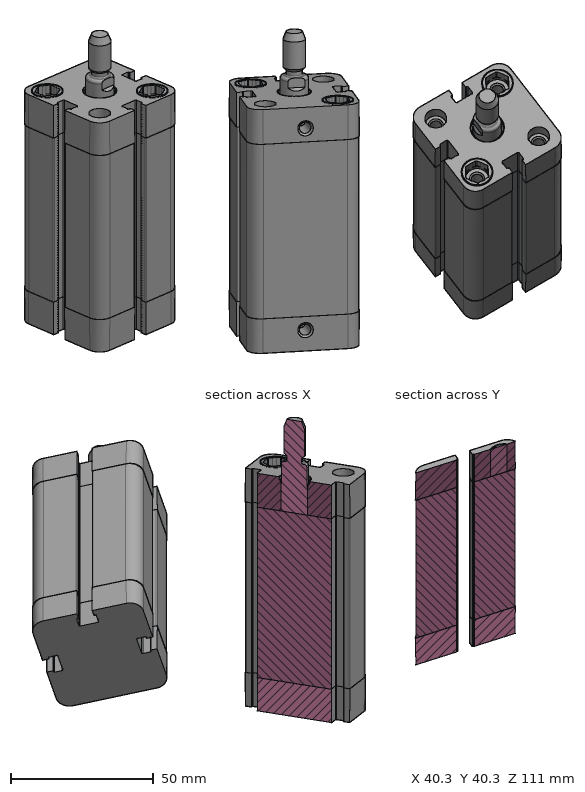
import cadquery as cq
import math

TOTAL_HEIGHT = 111.0
BODY_HEIGHT = 89.0
CAP_HEIGHT = 12.7
BARREL_TOP = BODY_HEIGHT - CAP_HEIGHT

CAP_SIDE = 40.3
CAP_OUTER_SIDE = 40.1
CAP_CORNER_RADIUS = 5.0
CAP_DRAFT = math.degrees(math.atan((CAP_SIDE - CAP_OUTER_SIDE) / 2 / CAP_HEIGHT))
BARREL_SIDE = 40.1
BARREL_CORNER_RADIUS = 5.1

SLOT_OPENING = 5.5
SLOT_INNER_WIDTH = 7.1
SLOT_FLOOR = 14.3
SLOT_LIP = 17.8
SLOT_CORNER_CHAMFER = 0.3
SLOT_MOUTH_RADIUS = 0.3
SLOT_ANGLES = (0, 90, -90)

CORNER_OFFSET = 13.0
SCREW_POSITIONS = [(-CORNER_OFFSET, -CORNER_OFFSET), (CORNER_OFFSET, CORNER_OFFSET)]
HOLE_POSITIONS = [(-CORNER_OFFSET, CORNER_OFFSET), (CORNER_OFFSET, -CORNER_OFFSET)]
SCREW_DIAMETER = 11.1
SCREW_CHAMFER = 0.3
HEX_ACROSS_FLATS = 8.0
HEX_CORNER_DIAMETER = 9.0
HEX_ANGLE = 30.0
HEX_DEPTH = 3.3
SCREW_BORE_DIAMETER = 8.1
HOLE_BORE_DIAMETER = 7.5
BORE_DEPTH = 4.7
THREAD_DIAMETER = 4.1
THREAD_MOUTH_DIAMETER = 5.2
PORT_MOUTH_DIAMETER = 5.5
PORT_HEIGHT = 7.7
PORT_DEPTH = 10.0
PORT_LEAD = 0.5

ROD_DIAMETER = 10.0
ROD_SHOULDER = 95.1
ROD_SHOULDER_RADIUS = 1.2
FLATS_WIDTH = 8.0
FLATS_BOTTOM = 91.6
NECK_DIAMETER = 5.8
NECK_FILLET = 0.4
STUD_DIAMETER = 8.0
STUD_BOTTOM = 97.0
STUD_TIP_CHAMFER = 2.8
ROD_RECESS_MOUTH_DIAMETER = 12.0
ROD_RECESS_DIAMETER = 11.4
ROD_RECESS_DEPTH = 1.1
ROD_CLEARANCE_DIAMETER = 10.4
ROD_CLEARANCE_DEPTH = 2.2


def rounded_square(side, radius):
    return cq.Sketch().rect(side, side).vertices().fillet(radius)


def cylinder_down(x, y, top, diameter, depth):
    """Vertical cylinder hanging down from height `top`."""
    return cq.Workplane("XY", origin=(x, y, top - depth)).circle(diameter / 2).extrude(depth)


def threaded_hole(mouth_diameter, depth, lead=0):
    """Countersunk thread hole along -Z, its mouth at the origin and widened straight up by `lead`."""
    core = THREAD_DIAMETER / 2
    mouth = mouth_diameter / 2
    hole = (
        cq.Workplane("XZ")
        .polyline([(0, 0), (mouth, 0), (core, core - mouth), (core, -depth), (0, -depth)])
        .close()
        .revolve(360, (0, 0), (0, 1))
    )
    if lead:
        hole = hole.union(cylinder_down(0, 0, lead, mouth_diameter, lead))
    return hole


def t_slots(mouth_radius=0):
    """Full-height cutters for the three T-slots, opening at the barrel's side face."""
    face = BARREL_SIDE / 2
    outside = CAP_SIDE
    half = SLOT_OPENING / 2
    slot = (
        cq.Workplane("XY")
        .center((SLOT_FLOOR + SLOT_LIP) / 2, 0)
        .rect(SLOT_LIP - SLOT_FLOOR, SLOT_INNER_WIDTH)
        .extrude(BODY_HEIGHT)
        .edges("|Z")
        .chamfer(SLOT_CORNER_CHAMFER)
    )
    opening = cq.Workplane("XY").moveTo(SLOT_FLOOR, -half)
    if mouth_radius:
        opening = (
            opening.lineTo(face - mouth_radius, -half)
            .radiusArc((face, -half - mouth_radius), mouth_radius)
            .lineTo(outside, -half - mouth_radius)
            .lineTo(outside, half + mouth_radius)
            .lineTo(face, half + mouth_radius)
            .radiusArc((face - mouth_radius, half), mouth_radius)
        )
    else:
        opening = opening.lineTo(outside, -half).lineTo(outside, half)
    slot = slot.union(opening.lineTo(SLOT_FLOOR, half).close().extrude(BODY_HEIGHT))
    slots = cq.Workplane("XY")
    for angle in SLOT_ANGLES:
        slots = slots.add(slot.rotate((0, 0, 0), (0, 0, 1), angle))
    return slots.combine()


def make_cap_block():
    """Drafted cap with slots and air port, its joint face at Z = 0 and its free end up."""
    cap = (
        cq.Workplane("XY")
        .placeSketch(rounded_square(CAP_SIDE, CAP_CORNER_RADIUS))
        .extrude(CAP_HEIGHT, taper=CAP_DRAFT)
        .cut(t_slots())
    )
    port_face = -(CAP_OUTER_SIDE / 2 + PORT_HEIGHT * math.tan(math.radians(CAP_DRAFT)))
    port = threaded_hole(PORT_MOUTH_DIAMETER, PORT_DEPTH, lead=PORT_LEAD).rotate((0, 0, 0), (0, 1, 0), -90)
    return cap.cut(port.translate((port_face, 0, CAP_HEIGHT - PORT_HEIGHT)))


def make_bottom_cap():
    return make_cap_block().mirror("XY").translate((0, 0, CAP_HEIGHT))


def make_barrel():
    return (
        cq.Workplane("XY", origin=(0, 0, CAP_HEIGHT))
        .placeSketch(rounded_square(BARREL_SIDE, BARREL_CORNER_RADIUS))
        .extrude(BARREL_TOP - CAP_HEIGHT)
        .cut(t_slots(SLOT_MOUTH_RADIUS))
    )


def make_rod_opening():
    """Cutter for the rod: guide bore, clearance step and countersunk recess at the top face."""
    mouth = ROD_RECESS_MOUTH_DIAMETER / 2
    recess = ROD_RECESS_DIAMETER / 2
    clearance = ROD_CLEARANCE_DIAMETER / 2
    guide = ROD_DIAMETER / 2
    outline = [
        (0, BODY_HEIGHT),
        (mouth, BODY_HEIGHT),
        (recess, BODY_HEIGHT - (mouth - recess)),
        (recess, BODY_HEIGHT - ROD_RECESS_DEPTH),
        (clearance, BODY_HEIGHT - ROD_RECESS_DEPTH),
        (clearance, BODY_HEIGHT - ROD_CLEARANCE_DEPTH),
        (guide, BODY_HEIGHT - ROD_CLEARANCE_DEPTH),
        (guide, BARREL_TOP),
        (0, BARREL_TOP),
    ]
    return cq.Workplane("XZ").polyline(outline).close().revolve(360, (0, 0), (0, 1))


def make_top_cap():
    cap = make_cap_block().translate((0, 0, BARREL_TOP))
    cap = cap.cut(make_rod_opening())
    for x, y in SCREW_POSITIONS:
        cap = cap.cut(cylinder_down(x, y, BODY_HEIGHT, SCREW_DIAMETER, CAP_HEIGHT))
    for x, y in HOLE_POSITIONS:
        cap = cap.cut(cylinder_down(x, y, BODY_HEIGHT, HOLE_BORE_DIAMETER, BORE_DEPTH))
        thread = threaded_hole(THREAD_MOUTH_DIAMETER, CAP_HEIGHT - BORE_DEPTH)
        cap = cap.cut(thread.translate((x, y, BODY_HEIGHT - BORE_DEPTH)))
    return cap


def make_screw(x, y):
    """Socket screw through the top cap, flush with its top face."""
    screw = cylinder_down(0, 0, 0, SCREW_DIAMETER, CAP_HEIGHT).faces(">Z").chamfer(SCREW_CHAMFER)
    hexagon = (
        cq.Workplane("XY")
        .polygon(6, HEX_ACROSS_FLATS, circumscribed=True)
        .extrude(-HEX_DEPTH)
        .rotate((0, 0, 0), (0, 0, 1), HEX_ANGLE)
    )
    socket = hexagon.intersect(cylinder_down(0, 0, 0, HEX_CORNER_DIAMETER, HEX_DEPTH))
    screw = screw.cut(socket)
    screw = screw.cut(cylinder_down(0, 0, 0, SCREW_BORE_DIAMETER, BORE_DEPTH))
    thread = threaded_hole(THREAD_MOUTH_DIAMETER, CAP_HEIGHT - BORE_DEPTH)
    return screw.cut(thread.translate((0, 0, -BORE_DEPTH))).translate((x, y, BODY_HEIGHT))


def make_rod():
    """Piston rod standing on the barrel, with wrench flats and a stud end."""
    rod_radius = ROD_DIAMETER / 2
    neck = NECK_DIAMETER / 2
    stud = STUD_DIAMETER / 2
    rod = (
        cq.Workplane("XZ")
        .moveTo(0, BARREL_TOP)
        .lineTo(rod_radius, BARREL_TOP)
        .lineTo(rod_radius, ROD_SHOULDER - ROD_SHOULDER_RADIUS)
        .radiusArc((rod_radius - ROD_SHOULDER_RADIUS, ROD_SHOULDER), -ROD_SHOULDER_RADIUS)
        .lineTo(neck + NECK_FILLET, ROD_SHOULDER)
        .radiusArc((neck, ROD_SHOULDER + NECK_FILLET), NECK_FILLET)
        .lineTo(neck, STUD_BOTTOM)
        .lineTo(stud, STUD_BOTTOM + stud - neck)
        .lineTo(stud, TOTAL_HEIGHT - STUD_TIP_CHAMFER)
        .lineTo(neck, TOTAL_HEIGHT)
        .lineTo(0, TOTAL_HEIGHT)
        .close()
        .revolve(360, (0, 0), (0, 1))
    )
    flat = FLATS_WIDTH / 2
    flat_cut = (
        cq.Workplane("XZ")
        .moveTo(flat, ROD_SHOULDER)
        .lineTo(flat, FLATS_BOTTOM)
        .lineTo(rod_radius, FLATS_BOTTOM - (rod_radius - flat))
        .lineTo(rod_radius, ROD_SHOULDER)
        .close()
        .extrude(rod_radius, both=True)
    )
    return rod.cut(flat_cut).cut(flat_cut.mirror("YZ"))


bottom_cap = make_bottom_cap().solids()
barrel = make_barrel().solids()
top_cap = make_top_cap().solids()
rod = make_rod().solids()
screws = [make_screw(x, y).solids().val() for x, y in SCREW_POSITIONS]

result = cq.Compound.makeCompound(
    [bottom_cap.val(), barrel.val(), top_cap.val(), rod.val(), *screws]
)